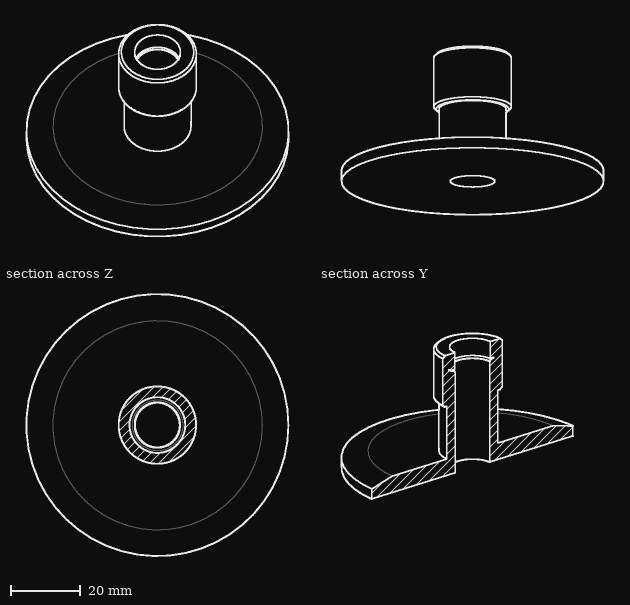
import cadquery as cq
import math

flange_diameter = 75.01
flange_thickness = 5.2
taper_angle = 15.0
taper_top_diameter = 59.87

total_height = 37.26
neck_diameter = 19.18
collar_diameter = 22.23
collar_length = 15.88
collar_chamfer_width = 0.76
collar_chamfer_height = 0.7

mouth_diameter = 13.08
bore_diameter = 12.72
groove_diameter = 15.88
groove_depth = 5.3
groove_width = 0.15
groove_lip_radius = 0.7

flange_radius = flange_diameter / 2
taper_top_radius = taper_top_diameter / 2
taper_drop = (flange_radius - taper_top_radius) * math.tan(math.radians(taper_angle))
neck_radius = neck_diameter / 2
collar_radius = collar_diameter / 2
collar_end_radius = collar_radius - collar_chamfer_width
collar_bottom = total_height - collar_length


def make_body():
    """Solid flange, neck and collar, revolved about Z."""
    profile = (
        cq.Workplane("XZ")
        .lineTo(flange_radius, 0)
        .lineTo(flange_radius, flange_thickness - taper_drop)
        .lineTo(taper_top_radius, flange_thickness)
        .lineTo(neck_radius, flange_thickness)
        .lineTo(neck_radius, collar_bottom)
        .lineTo(collar_end_radius, collar_bottom)
        .lineTo(collar_radius, collar_bottom + collar_chamfer_height)
        .lineTo(collar_radius, total_height - collar_chamfer_height)
        .lineTo(collar_end_radius, total_height)
        .lineTo(0, total_height)
        .close()
    )
    return profile.revolve(360, (0, 0, 0), (0, 1, 0))


def make_bore():
    """Bore, mouth and seal groove; the groove's rounded lower lip ends on a narrow ledge."""
    mouth_radius = mouth_diameter / 2
    bore_radius = bore_diameter / 2
    groove_radius = groove_diameter / 2
    groove_roof = total_height - groove_depth
    groove_floor = groove_roof - groove_width
    mouth_floor = groove_floor - groove_lip_radius
    profile = (
        cq.Workplane("XZ")
        .lineTo(bore_radius, 0)
        .lineTo(bore_radius, mouth_floor)
        .lineTo(mouth_radius, mouth_floor)
        .radiusArc((mouth_radius + groove_lip_radius, groove_floor), groove_lip_radius)
        .lineTo(groove_radius, groove_floor)
        .lineTo(groove_radius, groove_roof)
        .lineTo(mouth_radius, groove_roof)
        .lineTo(mouth_radius, total_height)
        .lineTo(0, total_height)
        .close()
    )
    return profile.revolve(360, (0, 0, 0), (0, 1, 0))


result = make_body().cut(make_bore())